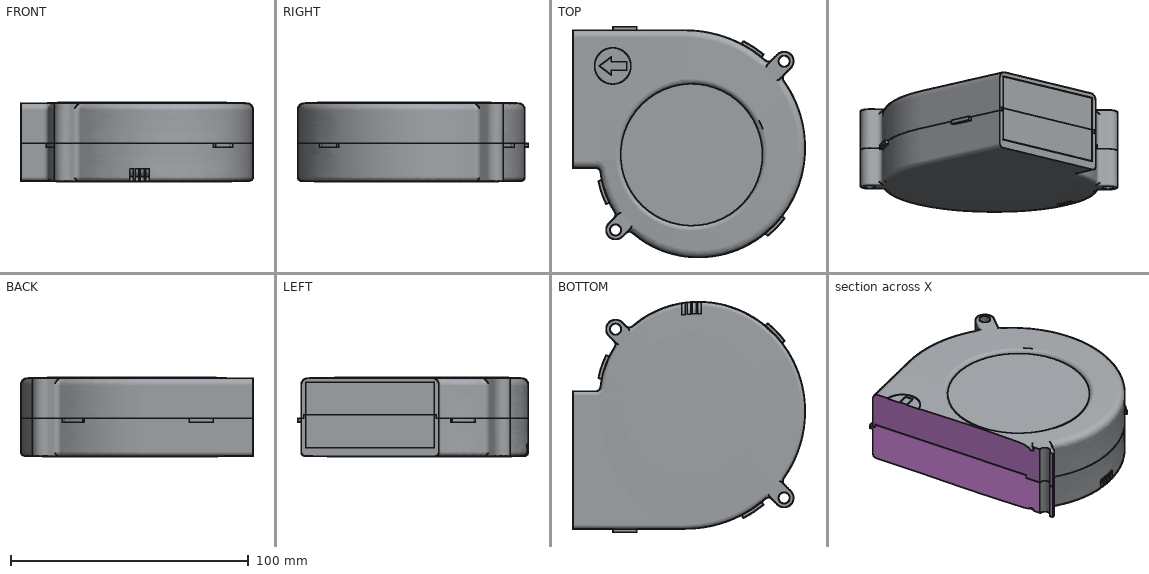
import cadquery as cq
import math


OVERRUN = 1.0

HEIGHT = 32.9
SPIRAL_RADIUS = 47.7
SPIRAL_GROWTH = 2.9
SPIRAL_END = math.radians(93.2)
OUTLET_X = -50.0
OUTLET_LOW_Y = -5.6
ANGLE_REFINEMENTS = 5
THROAT_FILLET = 2.0
TOP_RIM_FILLET = 2.9
BOTTOM_RIM_FILLET = 1.8

CROWN_RISE = 0.34
CROWN_MARGIN = 0.1
CROWN_END_X = -14.2
CROWN_MID = (-36.5, 17.8)
CROWN_START = math.radians(-169)
CROWN_THROAT_MID = (-36.4, -4.1)
CROWN_THROAT_END = (-38.8, -2.6)

SEAM_Z = 15.8
TONGUE_HEIGHT = 1.5
TONGUE_INSET = 1.1

PANEL_DEPTH = 0.5
PANEL_SIDE_MARGIN = 2.1
PANEL_TOP_MARGIN = 1.9
PANEL_BOTTOM_MARGIN = 3.6

LUGS = [(55.4, 45.3), (45.0, 224.7)]
LUG_RADIUS = 4.0
LUG_HOLE_DIAMETER = 4.6
LUG_ROOT_FILLET = 2.2
LUG_EDGE_FILLET = 0.6
LUG_ROOT_OVERLAP = 19.6

INLET_RADIUS = 29.8
INLET_LIP_RADIUS = 2.2
INLET_DEPTH = 1.5
INLET_LIP_WIDTH = math.sqrt(INLET_LIP_RADIUS**2 - (INLET_LIP_RADIUS - INLET_DEPTH) ** 2)
INLET_RIM_RADIUS = INLET_RADIUS + INLET_LIP_WIDTH

MARK_CENTER = (-33.2, 37.4)
MARK_RADIUS = 7.6
MARK_DEPTH = 0.2
ARROW_TIP = 5.7
ARROW_NECK = 0.6
ARROW_TAIL = 5.9
ARROW_HEAD_HALF_WIDTH = 3.8
ARROW_SHAFT_HALF_WIDTH = 1.8

TAB_LENGTH = 10.2
TAB_THICKNESS = 1.6
TAB_PROJECTION = 1.5
TAB_DIRECTIONS = [60, -40.5, 203]
STRAIGHT_TAB_X = -28.1

SLOT_COUNT = 4
SLOT_WIDTH = 1.6
SLOT_PITCH = 2.25
SLOT_TOP_Z = 5.2
SLOT_BEND_RADIUS = 3.4
SLOT_DEPTH = 4.9
SLOT_SETBACK = 0.15


def spiral_radius(angle):
    return SPIRAL_RADIUS + SPIRAL_GROWTH * angle


def spiral_point(angle, inset=0.0):
    radius = spiral_radius(angle) - inset
    return (radius * math.cos(angle), radius * math.sin(angle))


def spiral_points(start, end, inset=0.0, count=25):
    step = (end - start) / (count - 1)
    return [spiral_point(start + i * step, inset) for i in range(count)]


TOP_WALL_Y = spiral_point(SPIRAL_END)[1]


def throat_angle(low_y, inset):
    """Direction in which the spiral wall meets the lower wall of the outlet duct."""
    angle = -math.pi
    for _ in range(ANGLE_REFINEMENTS):
        angle = -math.pi - math.asin(low_y / (spiral_radius(angle) - inset))
    return angle


def scroll_prism(inset, bottom, top):
    """Scroll and outlet duct, with the side walls moved inwards by the inset."""
    low_y = OUTLET_LOW_Y + inset
    curve = spiral_points(throat_angle(low_y, inset), SPIRAL_END, inset)
    throat = curve[0]
    prism = (
        cq.Workplane("XY", origin=(0, 0, bottom))
        .moveTo(*throat)
        .spline(curve[1:], includeCurrent=True)
        .lineTo(OUTLET_X, curve[-1][1])
        .lineTo(OUTLET_X, throat[1])
        .close()
        .extrude(top - bottom)
    )
    throat_edge = cq.selectors.NearestToPointSelector((*throat, (bottom + top) / 2))
    return prism.edges(throat_edge).fillet(THROAT_FILLET)


def crown(inset, inner_radius, base_z, rise):
    """Shallow ruled rise from the inset scroll outline to a circle around the axis."""
    curve = spiral_points(CROWN_START, SPIRAL_END, inset)
    corner = (CROWN_END_X, curve[-1][1])
    corner_angle = math.atan2(corner[1], corner[0])

    def on_circle(angle):
        return (inner_radius * math.cos(angle), inner_radius * math.sin(angle))

    throat_end_angle = math.atan2(CROWN_THROAT_END[1], CROWN_THROAT_END[0])
    around = (CROWN_START + SPIRAL_END) / 2
    along = (SPIRAL_END + corner_angle) / 2
    across = (corner_angle + throat_end_angle) / 2 + math.pi
    throat = (throat_end_angle + CROWN_START) / 2
    return (
        cq.Workplane("XY", origin=(0, 0, base_z))
        .moveTo(*curve[0])
        .spline(curve[1:], includeCurrent=True)
        .lineTo(*corner)
        .threePointArc(CROWN_MID, CROWN_THROAT_END)
        .threePointArc(CROWN_THROAT_MID, curve[0])
        .close()
        .workplane(offset=rise)
        .moveTo(*on_circle(CROWN_START))
        .threePointArc(on_circle(around), on_circle(SPIRAL_END))
        .threePointArc(on_circle(along), on_circle(corner_angle))
        .threePointArc(on_circle(across), on_circle(throat_end_angle))
        .threePointArc(on_circle(throat), on_circle(CROWN_START))
        .close()
        .loft(ruled=True)
    )


def lug_bar(distance, direction):
    """Plain full-height bar with a round end at the lug hole."""
    root = distance - LUG_ROOT_OVERLAP
    bar = (
        cq.Workplane("XY")
        .moveTo(root, -LUG_RADIUS)
        .lineTo(distance, -LUG_RADIUS)
        .threePointArc((distance + LUG_RADIUS, 0), (distance, LUG_RADIUS))
        .lineTo(root, LUG_RADIUS)
        .close()
        .extrude(HEIGHT)
    )
    return bar.rotate((0, 0, 0), (0, 0, 1), direction)


def rounded_lug(distance, direction):
    """Lug bar with small fillets along its upper and lower edges."""
    bar = lug_bar(distance, direction)
    angle = math.radians(direction)
    reach = distance + LUG_RADIUS
    tip = (reach * math.cos(angle), reach * math.sin(angle))
    for z in (0, HEIGHT):
        bar = bar.edges(cq.selectors.NearestToPointSelector((*tip, z))).fillet(LUG_EDGE_FILLET)
    return bar


def fillet_lug_roots(body, direction):
    """Round the two upright inner corners where a lug meets the scroll wall."""
    wall = spiral_radius(math.remainder(math.radians(direction), 2 * math.pi))
    zone = cq.Workplane("XY").box(2 * LUG_RADIUS, 3 * LUG_RADIUS, HEIGHT / 2)
    zone = zone.translate((wall, 0, HEIGHT / 2)).rotate((0, 0, 0), (0, 0, 1), direction).val()
    corners = [edge for edge in body.edges().vals() if zone.isInside(edge.Center())]
    return body.newObject(corners).fillet(LUG_ROOT_FILLET)


def lug_hole(distance, direction):
    hole = cq.Workplane("XY").center(distance, 0).circle(LUG_HOLE_DIAMETER / 2).extrude(HEIGHT)
    return hole.rotate((0, 0, 0), (0, 0, 1), direction)


def outlet_panel():
    low = OUTLET_LOW_Y + PANEL_SIDE_MARGIN
    width = TOP_WALL_Y - PANEL_SIDE_MARGIN - low
    height = HEIGHT - PANEL_TOP_MARGIN - PANEL_BOTTOM_MARGIN
    panel = cq.Workplane("XY").box(PANEL_DEPTH, width, height, centered=False)
    return panel.translate((OUTLET_X, low, PANEL_BOTTOM_MARGIN))


def housing():
    """Outer form of the whole blower before it is split at the seam."""
    body = scroll_prism(0, 0, HEIGHT)
    for distance, direction in LUGS:
        body = body.union(lug_bar(distance, direction))
    for _, direction in LUGS:
        body = fillet_lug_roots(body, direction)
    body = body.faces(">Z").edges("not <X").fillet(TOP_RIM_FILLET)
    body = body.faces("<Z").edges("not <X").fillet(BOTTOM_RIM_FILLET)
    body = body.union(crown(TOP_RIM_FILLET + CROWN_MARGIN, INLET_RIM_RADIUS, HEIGHT, CROWN_RISE))
    body = body.union(crown(BOTTOM_RIM_FILLET + CROWN_MARGIN, INLET_RADIUS, 0, -CROWN_RISE))
    for distance, direction in LUGS:
        body = body.union(rounded_lug(distance, direction))
    for distance, direction in LUGS:
        body = body.cut(lug_hole(distance, direction))
    return body.cut(outlet_panel())


def lower_region():
    """Everything below the seam, with the tongue that rises into the cover."""
    size = 4 * SPIRAL_RADIUS
    below = cq.Workplane("XY").box(size, size, size).translate((0, 0, SEAM_Z - size / 2))
    return below.union(scroll_prism(TONGUE_INSET, SEAM_Z - OVERRUN, SEAM_Z + TONGUE_HEIGHT))


def clip_tabs():
    bottom = SEAM_Z - TAB_THICKNESS
    rim = scroll_prism(-TAB_PROJECTION, bottom, SEAM_Z)
    reach = 2 * SPIRAL_RADIUS
    tabs = []
    for direction in TAB_DIRECTIONS:
        sector = cq.Workplane("XY").box(reach, TAB_LENGTH, HEIGHT, centered=(False, True, False))
        sector = sector.translate((SPIRAL_RADIUS / 2, 0, 0))
        tabs.append(rim.intersect(sector.rotate((0, 0, 0), (0, 0, 1), direction)))
    strip = cq.Workplane("XY").box(TAB_LENGTH, reach, HEIGHT, centered=(True, False, False))
    tabs.append(rim.intersect(strip.translate((STRAIGHT_TAB_X, SPIRAL_RADIUS / 2, 0))))
    return tabs


def cable_slot(x):
    """Slot whose outer edge is rounded inwards before it drops through the underside."""
    wall_y = SLOT_SETBACK + spiral_point(math.radians(-90) + x / SPIRAL_RADIUS)[1]
    bend_z = SLOT_TOP_Z - SLOT_BEND_RADIUS
    diagonal = SLOT_BEND_RADIUS * math.sqrt(0.5)
    center = (wall_y + SLOT_BEND_RADIUS, SLOT_TOP_Z)
    return (
        cq.Workplane("YZ", origin=(x - SLOT_WIDTH / 2, 0, 0))
        .moveTo(wall_y - OVERRUN, SLOT_TOP_Z)
        .lineTo(wall_y, SLOT_TOP_Z)
        .threePointArc((center[0] - diagonal, center[1] - diagonal), (center[0], bend_z))
        .lineTo(wall_y + SLOT_DEPTH, bend_z)
        .lineTo(wall_y + SLOT_DEPTH, -OVERRUN)
        .lineTo(wall_y - OVERRUN, -OVERRUN)
        .close()
        .extrude(SLOT_WIDTH)
    )


def inlet_recess():
    """Round recess whose lip curves down from the crown."""
    top = HEIGHT + CROWN_RISE
    floor = top - INLET_DEPTH
    half_sweep = math.asin(INLET_LIP_WIDTH / INLET_LIP_RADIUS) / 2
    lip_mid = (
        INLET_RIM_RADIUS - INLET_LIP_RADIUS * math.sin(half_sweep),
        top - INLET_LIP_RADIUS * (1 - math.cos(half_sweep)),
    )
    return (
        cq.Workplane("XZ")
        .moveTo(0, floor)
        .lineTo(INLET_RADIUS, floor)
        .threePointArc(lip_mid, (INLET_RIM_RADIUS, top))
        .lineTo(0, top)
        .close()
        .revolve(360, (0, 0), (0, 1))
    )


def flow_mark():
    """Round sunk field around a standing arrow that points out of the outlet."""
    floor = HEIGHT - MARK_DEPTH
    tool_height = MARK_DEPTH + 2 * CROWN_RISE
    field = cq.Workplane("XY", origin=(*MARK_CENTER, floor)).circle(MARK_RADIUS).extrude(tool_height)
    arrow = (
        cq.Workplane("XY", origin=(*MARK_CENTER, floor))
        .moveTo(-ARROW_TIP, 0)
        .lineTo(-ARROW_NECK, ARROW_HEAD_HALF_WIDTH)
        .lineTo(-ARROW_NECK, ARROW_SHAFT_HALF_WIDTH)
        .lineTo(ARROW_TAIL, ARROW_SHAFT_HALF_WIDTH)
        .lineTo(ARROW_TAIL, -ARROW_SHAFT_HALF_WIDTH)
        .lineTo(-ARROW_NECK, -ARROW_SHAFT_HALF_WIDTH)
        .lineTo(-ARROW_NECK, -ARROW_HEAD_HALF_WIDTH)
        .close()
        .extrude(MARK_DEPTH)
    )
    return field.cut(arrow)


def make_base(form, region):
    base = form.intersect(region)
    for tab in clip_tabs():
        base = base.union(tab)
    for i in range(SLOT_COUNT):
        base = base.cut(cable_slot((i - (SLOT_COUNT - 1) / 2) * SLOT_PITCH))
    return base


def make_cover(form, region):
    return form.cut(region).cut(inlet_recess()).cut(flow_mark())


blower_form = housing()
seam_region = lower_region()
base = make_base(blower_form, seam_region)
cover = make_cover(blower_form, seam_region)

result = cq.Compound.makeCompound([base.val(), cover.val()])